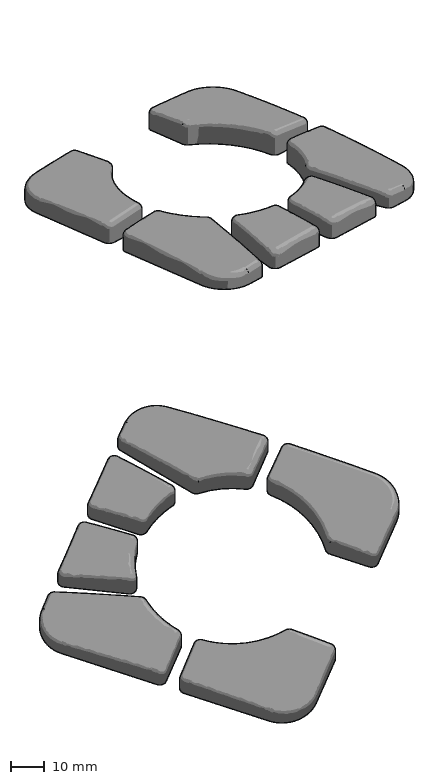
import cadquery as cq
import math

left_x = -39.3
right_x = 47.0
half_width = 44.2
opening_radius = 28.55

gap = 4.2
cross_gap_x = 2.6
left_gap_half = 15.8
slant_angle = 13.8
slant_gap_y = 13.9

edge_radius = 2.1
dome_radius = 415.5
dome_top = 9.0
blank_height = dome_top + edge_radius
left_corner_radius = 11.0
right_corner_radius = 10.0

slant = math.tan(math.radians(slant_angle))
slant_shift = gap / 2 / math.cos(math.radians(slant_angle))


def opening_reach(offset):
    """Reach of the opening's circle along one axis at an offset along the other."""
    return math.sqrt(opening_radius**2 - offset**2)


def opening_point(angle):
    """Point of the opening's circle at an angle in radians."""
    return (opening_radius * math.cos(angle), opening_radius * math.sin(angle))


def opening_on_slant(offset):
    """Point on the right of the opening's circle where y = slant * x + offset."""
    line_angle = math.atan(slant)
    distance = offset * math.cos(line_angle)
    return opening_point(line_angle + math.asin(distance / opening_radius))


def blank(arc_start, arc_end, corners):
    """Straight block: the opening's arc from start to end, then straight sides through the corners."""
    start_angle = math.atan2(arc_start[1], arc_start[0])
    end_angle = math.atan2(arc_end[1], arc_end[0])
    arc_middle = opening_point((start_angle + end_angle) / 2)
    outline = cq.Workplane("XY").moveTo(*arc_start).threePointArc(arc_middle, arc_end)
    for corner in corners:
        outline = outline.lineTo(*corner)
    return outline.close().extrude(blank_height)


def upright_edge(corner):
    """Selector of the upright edge at an outline corner."""
    return cq.selectors.NearestToPointSelector((*corner, blank_height / 2))


def dome_and_round(block, sharp_corners):
    """Cut the top to the shallow dome, then round its rim and the sharp upright edges."""
    dome = cq.Workplane("XY").sphere(dome_radius).translate((0, 0, dome_top - dome_radius))
    block = block.intersect(dome)
    edges = block.faces(">Z").edges()
    for corner in sharp_corners:
        edges = edges.add(block.edges("|Z").edges(upright_edge(corner)))
    return edges.fillet(edge_radius)


def corner_block(inner_x, outer_x, arc_end, near_corner, corner_radius):
    """Block around one corner of the frame, between the cross gap and its neighbour's gap."""
    arc_start = (inner_x, opening_reach(inner_x))
    outer_corner = (outer_x, half_width)
    far_corner = (inner_x, half_width)
    block = blank(arc_start, arc_end, [near_corner, outer_corner, far_corner])
    block = block.edges(upright_edge(outer_corner)).fillet(corner_radius)
    return dome_and_round(block, [arc_start, arc_end, near_corner, far_corner])


def left_block():
    inner_x = cross_gap_x - gap / 2
    arc_end = (-opening_reach(left_gap_half), left_gap_half)
    near_corner = (left_x, left_gap_half)
    return corner_block(inner_x, left_x, arc_end, near_corner, left_corner_radius)


def right_block():
    inner_x = cross_gap_x + gap / 2
    slant_offset = slant_gap_y + slant_shift
    arc_end = opening_on_slant(slant_offset)
    near_corner = (right_x, slant * right_x + slant_offset)
    return corner_block(inner_x, right_x, arc_end, near_corner, right_corner_radius)


def side_pad():
    slant_offset = slant_gap_y - slant_shift
    arc_start = opening_on_slant(slant_offset)
    arc_end = (opening_reach(gap / 2), gap / 2)
    near_corner = (right_x, gap / 2)
    far_corner = (right_x, slant * right_x + slant_offset)
    block = blank(arc_start, arc_end, [near_corner, far_corner])
    return dome_and_round(block, [arc_start, arc_end, near_corner, far_corner])


bodies = []
for make_body in (left_block, right_block, side_pad):
    body = make_body()
    bodies.append(body.val())
    bodies.append(body.mirror("XZ").val())

result = cq.Compound.makeCompound(bodies)